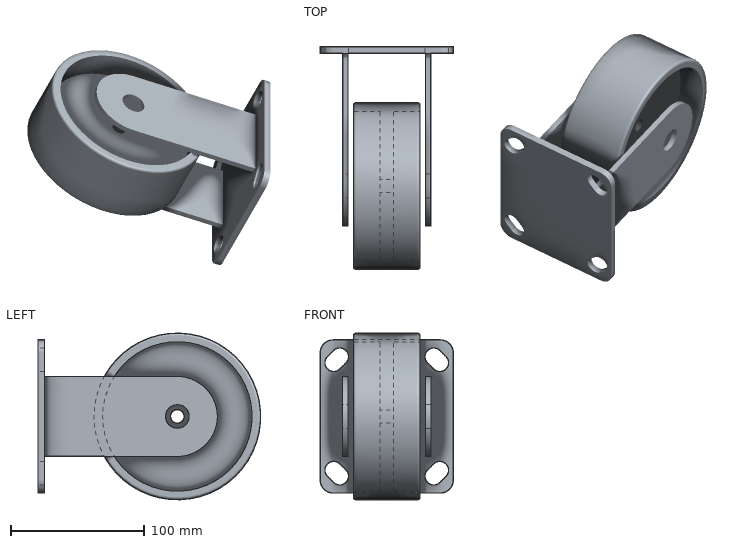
import cadquery as cq

plate_width = 100.0
plate_height = 115.0
plate_thickness = 5.0
plate_corner_radius = 10.0
plate_back_y = 104.5
plate_front_y = plate_back_y - plate_thickness

slot_pattern_x = 75.0
slot_pattern_z = 85.0
slot_width = 13.0
slot_travel = 6.4
slot_length = slot_travel + slot_width
slot_tilt = 45.0

arm_inner_x = 29.0
arm_thickness = 4.0
arm_height = 60.0
arm_hole_diameter = 17.7

wheel_diameter = 125.0
wheel_width = 50.0
wheel_edge_radius = 2.0
wheel_bore_diameter = 10.0
recess_diameter = 112.0
recess_depth = 20.0


def make_slot_cutter(side_x, side_z):
    """Slot through the plate in the corner given by the signs side_x and side_z."""
    return (
        cq.Workplane("XZ", origin=(0, plate_back_y, 0))
        .center(side_x * slot_pattern_x / 2, side_z * slot_pattern_z / 2)
        .slot2D(slot_length, slot_width, -side_x * side_z * slot_tilt)
        .extrude(plate_thickness)
    )


def make_plate():
    """Rounded rectangular plate with a slanted slot in each corner."""
    plate = (
        cq.Workplane("XZ", origin=(0, plate_back_y, 0))
        .rect(plate_width, plate_height)
        .extrude(plate_thickness)
        .edges("|Y")
        .fillet(plate_corner_radius)
    )
    for side_x in (-1, 1):
        for side_z in (-1, 1):
            plate = plate.cut(make_slot_cutter(side_x, side_z))
    return plate


def make_arm(start_x):
    """Round-ended arm from the plate to the axle, occupying +X from start_x."""
    half_height = arm_height / 2
    return (
        cq.Workplane("YZ", origin=(start_x, 0, 0))
        .moveTo(plate_front_y, half_height)
        .lineTo(0, half_height)
        .threePointArc((-half_height, 0), (0, -half_height))
        .lineTo(plate_front_y, -half_height)
        .close()
        .moveTo(0, 0)
        .circle(arm_hole_diameter / 2)
        .extrude(arm_thickness)
    )


def make_bracket():
    """Plate and both fork arms as one welded body."""
    bracket = make_plate()
    for start_x in (-arm_inner_x - arm_thickness, arm_inner_x):
        bracket = bracket.union(make_arm(start_x))
    return bracket


def make_wheel():
    """Wheel with rounded rim edges, a dished recess in each face and a through bore."""
    half_width = wheel_width / 2
    wheel = (
        cq.Workplane("YZ", origin=(-half_width, 0, 0))
        .circle(wheel_diameter / 2)
        .extrude(wheel_width)
        .edges()
        .fillet(wheel_edge_radius)
    )
    for recess_start_x in (-half_width, half_width - recess_depth):
        recess = (
            cq.Workplane("YZ", origin=(recess_start_x, 0, 0))
            .circle(recess_diameter / 2)
            .extrude(recess_depth)
        )
        wheel = wheel.cut(recess)
    bore = (
        cq.Workplane("YZ", origin=(-half_width, 0, 0))
        .circle(wheel_bore_diameter / 2)
        .extrude(wheel_width)
    )
    return wheel.cut(bore)


bracket = make_bracket()
wheel = make_wheel()
result = cq.Compound.makeCompound([bracket.val(), wheel.val()])